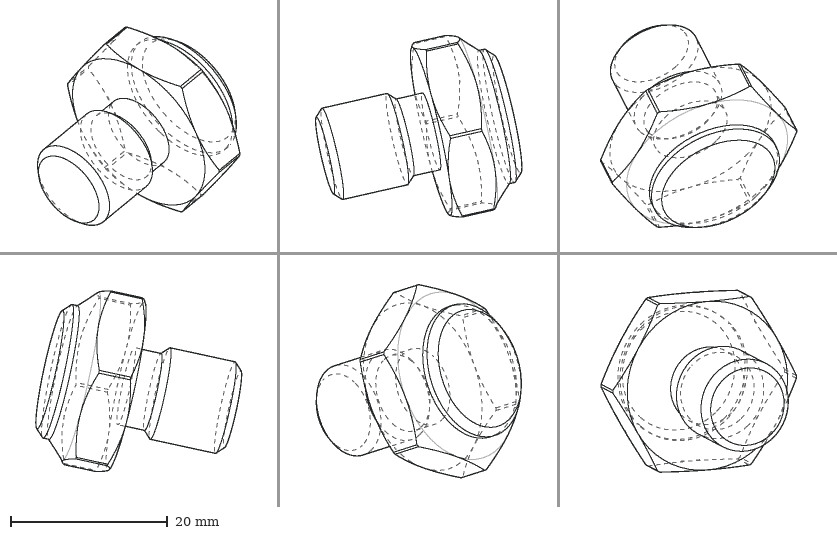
import cadquery as cq
import math

across_flats = 22.0
corner_diameter = 25.2
hex_length = 6.0
hex_chamfer_angle = math.radians(30)

head_diameter = 17.5
head_chamfer = 1.0
head_land = 0.75

stud_diameter = 12.0
stud_chamfer = 0.95
neck_length = 3.5
total_length = 24.0

flat_radius = across_flats / 2
corner_radius = corner_diameter / 2
head_radius = head_diameter / 2
stud_radius = stud_diameter / 2
neck_radius = stud_radius - stud_chamfer
cone_length = flat_radius - head_radius

cone_end = hex_length + cone_length
land_end = cone_end + head_land
head_end = land_end + head_chamfer
stud_end = head_end - total_length


def revolve_about_y(profile):
    """Solid of revolution from (radius, y) points that start and end on the axis."""
    return cq.Workplane("XY").polyline(profile).close().revolve(360, (0, 0), (0, 1))


def make_collar():
    """Hexagon with corners towards +X and -X, chamfered at both ends."""
    hexagon_diameter = across_flats / math.cos(math.radians(30))
    prism = cq.Workplane("XZ").polygon(6, hexagon_diameter).extrude(-hex_length)
    chamfer_length = (corner_radius - flat_radius) * math.tan(hex_chamfer_angle)
    envelope = revolve_about_y([
        (0, 0),
        (flat_radius, 0),
        (corner_radius, chamfer_length),
        (corner_radius, hex_length - chamfer_length),
        (flat_radius, hex_length),
        (0, hex_length),
    ])
    return prism.intersect(envelope)


def make_head():
    """Cone rising from the collar to a short chamfered cylinder."""
    return revolve_about_y([
        (0, hex_length),
        (flat_radius, hex_length),
        (head_radius, cone_end),
        (head_radius, land_end),
        (head_radius - head_chamfer, head_end),
        (0, head_end),
    ])


def make_stud():
    """Undercut neck and the stud, chamfered at both of its ends."""
    return revolve_about_y([
        (0, 0),
        (neck_radius, 0),
        (neck_radius, -neck_length),
        (stud_radius, -neck_length - stud_chamfer),
        (stud_radius, stud_end + stud_chamfer),
        (stud_radius - stud_chamfer, stud_end),
        (0, stud_end),
    ])


result = make_collar().union(make_head()).union(make_stud())